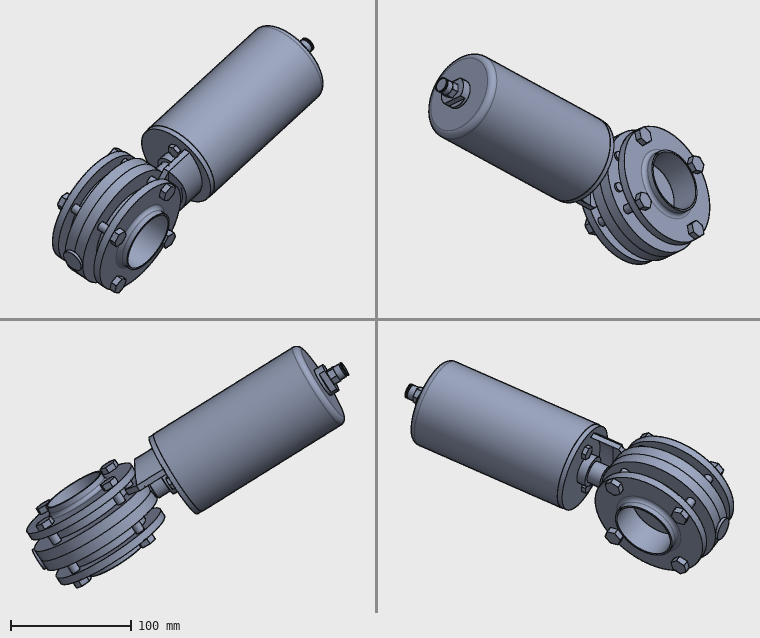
import cadquery as cq
import math


overall_length = 302.0

ring_radius = 109.0 / 2
ring_half_width = 9.7
hub_radius = 36.8
flange_radius = 51.5
flange_inner_x = 19.3
flange_outer_x = 26.0
pipe_radius = 27.2
bore_radius = 25.7
pipe_end_x = 34.5
pipe_root_fillet = 3.5

bolt_count = 4
bolt_circle_radius = 44.7
bolt_radius = 4.0
bolt_head_radius = 7.5
bolt_head_height = 5.5

disc_half_thickness = 9.7
lower_stem_radius = 6.0
stem_cap_radius = ring_half_width
stem_cap_end = 56.5
stem_square_corner = 12.5 / 2

coupling_radius = 9.7
coupling_start_y = stem_cap_end
collar_radius = 13.3
collar_start_y = 68.5
cylinder_radius = 38.0
base_rim_radius = 37.8
base_rim_height = 4.5
cylinder_start_y = 76.5
cylinder_end_y = 223.5
cylinder_end_fillet = 5.5
cover_screw_offset = 21.5
cover_screw_radius = 6.0
cover_screw_height = 4.0
gland_radius = 12.7
gland_height = 8.2
gland_flat_start = 2.7
gland_flat_offset = 8.8
nut_radius = 14.2 / 2
nut_height = 6.0
top_end_y = overall_length - stem_cap_end
tip_radius = 12.5 / 2
tip_groove_radius = 5.7
tip_groove_start = 1.0
tip_groove_width = 1.2

bracket_half_height = 30.0
plate_inner_x = ring_half_width
plate_outer_x = 14.8
plate_start_y = 38.5
plate_top_y = 55.0
corner_chamfer = 11.2
shell_outer_x = 28.5
slope_end_y = 56.2
pin_radius = 4.0
pin_y = 42.3
pin_z = 15.0
pin_start_x = -11.5
pin_end_x = 19.0


def x_cylinder(radius, start, end, y=0.0, z=0.0):
    """Round bar along X."""
    return cq.Workplane("YZ", origin=(start, y, z)).circle(radius).extrude(end - start)


def y_plane(y, z=0.0):
    """Sketch plane that extrudes toward +Y; its local x is +Z and its local y is +X."""
    return cq.Workplane(cq.Plane(origin=(0, y, z), xDir=(0, 0, 1), normal=(0, 1, 0)))


def y_cylinder(radius, start, end):
    """Round bar along Y on the stem axis."""
    return y_plane(start).circle(radius).extrude(end - start)


def y_hexagon(corner_radius, start, end, z=0.0):
    """Hexagonal bar along Y with two corners facing up and down."""
    return y_plane(start, z).polygon(6, 2 * corner_radius).extrude(end - start)


def make_bolt(angle):
    """Shank between ring and flange plus the hexagon head, with a head flat facing outward."""
    half_hexagon_step = 30
    shank = x_cylinder(bolt_radius, ring_half_width, flange_outer_x, bolt_circle_radius)
    head = (
        cq.Workplane("YZ", origin=(flange_outer_x, bolt_circle_radius, 0))
        .transformed(rotate=(0, 0, half_hexagon_step))
        .polygon(6, 2 * bolt_head_radius)
        .extrude(bolt_head_height)
    )
    return shank.union(head).rotate((0, 0, 0), (1, 0, 0), angle)


def make_body_half():
    """The +X half: half ring, hub, flange, weld end and bolts."""
    fillet_end_x = flange_outer_x + pipe_root_fillet
    fillet_edge = pipe_radius + pipe_root_fillet
    fillet_mid = pipe_root_fillet * (1 - math.sqrt(0.5))
    half = (
        cq.Workplane("XY")
        .moveTo(0, bore_radius)
        .lineTo(0, ring_radius)
        .lineTo(ring_half_width, ring_radius)
        .lineTo(ring_half_width, hub_radius)
        .lineTo(flange_inner_x, hub_radius)
        .lineTo(flange_inner_x, flange_radius)
        .lineTo(flange_outer_x, flange_radius)
        .lineTo(flange_outer_x, fillet_edge)
        .threePointArc(
            (flange_outer_x + fillet_mid, pipe_radius + fillet_mid),
            (fillet_end_x, pipe_radius),
        )
        .lineTo(pipe_end_x, pipe_radius)
        .lineTo(pipe_end_x, bore_radius)
        .close()
        .revolve(360, (0, 0, 0), (1, 0, 0))
    )
    spacing = 360 / bolt_count
    for index in range(bolt_count):
        half = half.union(make_bolt(spacing * (index + 0.5)))
    return half


def make_disc():
    """Closed disc with a square stem toward the actuator and a capped round stem opposite."""
    disc = x_cylinder(bore_radius, -disc_half_thickness, disc_half_thickness)
    square_stem = y_plane(0).polygon(4, 2 * stem_square_corner).extrude(coupling_start_y)
    lower_stem = y_cylinder(lower_stem_radius, -stem_cap_end, 0)
    cap = y_cylinder(stem_cap_radius, -stem_cap_end, 0)
    cap = cap.cut(x_cylinder(ring_radius, -pipe_end_x, pipe_end_x))
    return disc.union(square_stem).union(lower_stem).union(cap)


def make_gland():
    """Round boss on the actuator end with two flats facing up and down."""
    end_y = cylinder_end_y + gland_height
    gland = y_cylinder(gland_radius, cylinder_end_y, end_y)
    flat_start_y = cylinder_end_y + gland_flat_start
    slab = y_plane(flat_start_y).rect(2 * gland_flat_offset, 2 * gland_radius).extrude(gland_height)
    base = y_cylinder(gland_radius, cylinder_end_y, flat_start_y)
    return gland.intersect(slab).union(base)


def make_tip(start_y):
    """Round tip with a shallow groove close to its end."""
    groove_end_y = top_end_y - tip_groove_start
    groove_start_y = groove_end_y - tip_groove_width
    tip = y_cylinder(tip_radius, start_y, groove_start_y)
    tip = tip.union(y_cylinder(tip_groove_radius, groove_start_y, groove_end_y))
    return tip.union(y_cylinder(tip_radius, groove_end_y, top_end_y))


def make_actuator():
    """Cylinder with rim, coupling and cover screws at one end, gland, nut and tip at the other."""
    rim_end_y = cylinder_start_y + base_rim_height
    actuator = y_cylinder(cylinder_radius, rim_end_y, cylinder_end_y)
    actuator = actuator.faces(">Y").edges().fillet(cylinder_end_fillet)
    actuator = actuator.union(y_cylinder(base_rim_radius, cylinder_start_y, rim_end_y))
    actuator = actuator.union(y_cylinder(collar_radius, collar_start_y, cylinder_start_y))
    actuator = actuator.union(y_cylinder(coupling_radius, coupling_start_y, collar_start_y))
    screw_start_y = cylinder_start_y - cover_screw_height
    for z in (-cover_screw_offset, cover_screw_offset):
        actuator = actuator.union(y_hexagon(cover_screw_radius, screw_start_y, cylinder_start_y, z))
    nut_start_y = cylinder_end_y + gland_height
    nut_end_y = nut_start_y + nut_height
    actuator = actuator.union(make_gland())
    actuator = actuator.union(y_hexagon(nut_radius, nut_start_y, nut_end_y))
    return actuator.union(make_tip(nut_end_y))


def make_bracket():
    """Curved shell under the actuator that runs into a flat plate pinned to the valve ring."""
    rim_to_crown = shell_outer_x - plate_outer_x
    outer_radius = (bracket_half_height**2 + rim_to_crown**2) / (2 * rim_to_crown)
    centre_x = shell_outer_x - outer_radius
    inner_radius = math.hypot(bracket_half_height, plate_inner_x - centre_x)

    slope_start_y = plate_start_y + corner_chamfer
    side = (
        cq.Workplane("XY", origin=(0, 0, -bracket_half_height))
        .polyline([
            (plate_inner_x, plate_start_y),
            (plate_outer_x, plate_start_y),
            (plate_outer_x, slope_start_y),
            (shell_outer_x, slope_end_y),
            (shell_outer_x, cylinder_start_y),
            (plate_inner_x, cylinder_start_y),
        ])
        .close()
        .extrude(2 * bracket_half_height)
    )
    plate_end_half_height = bracket_half_height - corner_chamfer
    front = (
        cq.Workplane("YZ")
        .polyline([
            (plate_start_y, -plate_end_half_height),
            (slope_start_y, -bracket_half_height),
            (cylinder_start_y, -bracket_half_height),
            (cylinder_start_y, bracket_half_height),
            (slope_start_y, bracket_half_height),
            (plate_start_y, plate_end_half_height),
        ])
        .close()
        .extrude(shell_outer_x)
    )

    length = cylinder_start_y - plate_start_y
    outer = y_plane(plate_start_y).center(0, centre_x).circle(outer_radius).extrude(length)
    inner = y_plane(plate_top_y).center(0, centre_x).circle(inner_radius).extrude(length)
    bracket = side.intersect(front).intersect(outer).cut(inner)
    for z in (-pin_z, pin_z):
        bracket = bracket.union(x_cylinder(pin_radius, pin_start_x, pin_end_x, pin_y, z))
    return bracket


disc = make_disc()
bracket = make_bracket()
actuator = make_actuator()

right_half = make_body_half()
body_halves = [
    half.cut(disc).cut(bracket)
    for half in (right_half, right_half.mirror("YZ"))
]

result = cq.Compound.makeCompound([
    *[half.val() for half in body_halves],
    disc.val(),
    actuator.val(),
    bracket.val(),
])